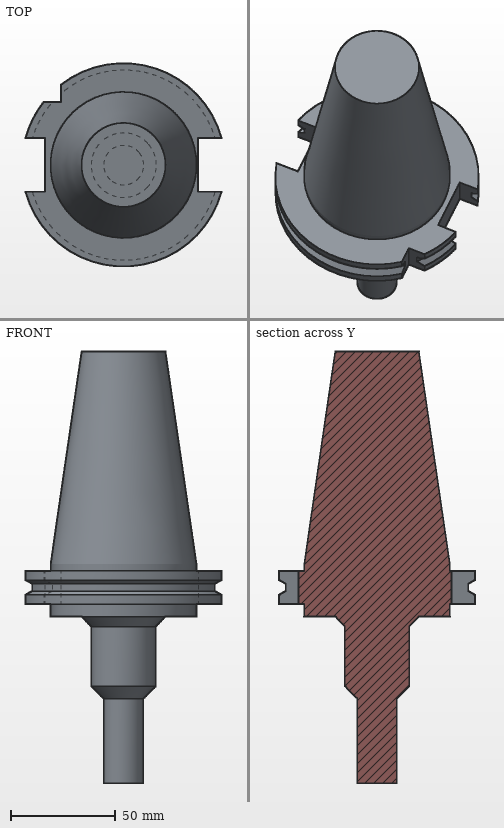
import cadquery as cq
import math

total_height = 206.8
gauge_line_z = 105.0
flange_top_z = 101.7
flange_height = 16.0
flange_bottom_z = flange_top_z - flange_height
collar_bottom_z = 79.8
neck_top_z = 75.0
neck_bottom_z = 46.5

taper_large_diameter = 69.9
taper_ratio = 7 / 24
taper_small_diameter = taper_large_diameter - taper_ratio * (total_height - gauge_line_z)
flange_diameter = 97.4
collar_diameter = 70.0
neck_cone_diameter = 40.1
neck_diameter = 31.0
shank_diameter = 19.0
shank_top_z = neck_bottom_z - (neck_diameter - shank_diameter) / 2

groove_width = 7.0
groove_depth = 3.0
groove_wall_angle = 30.0

slot_width = 25.6
left_slot_floor = 37.6
right_slot_floor = 35.8
notch_x = -30.0
notch_y = 30.2


def turned_body():
    """Taper, flange blank, collar, neck and shank in one revolved profile."""
    profile = [
        (0, 0),
        (shank_diameter / 2, 0),
        (shank_diameter / 2, shank_top_z),
        (neck_diameter / 2, neck_bottom_z),
        (neck_diameter / 2, neck_top_z),
        (neck_cone_diameter / 2, collar_bottom_z),
        (collar_diameter / 2, collar_bottom_z),
        (collar_diameter / 2, flange_bottom_z),
        (flange_diameter / 2, flange_bottom_z),
        (flange_diameter / 2, flange_top_z),
        (taper_large_diameter / 2, flange_top_z),
        (taper_large_diameter / 2, gauge_line_z),
        (taper_small_diameter / 2, total_height),
        (0, total_height),
    ]
    return cq.Workplane("XZ").polyline(profile).close().revolve(360, (0, 0), (0, 1))


def flange_groove():
    """Ring with sloping walls and a flat floor, to be cut from the flange rim."""
    middle_z = (flange_top_z + flange_bottom_z) / 2
    rim_radius = flange_diameter / 2
    floor_radius = rim_radius - groove_depth
    rim_half_width = groove_width / 2
    floor_half_width = rim_half_width - groove_depth * math.tan(math.radians(groove_wall_angle))
    profile = [
        (rim_radius, middle_z - rim_half_width),
        (floor_radius, middle_z - floor_half_width),
        (floor_radius, middle_z + floor_half_width),
        (rim_radius, middle_z + rim_half_width),
    ]
    return cq.Workplane("XZ").polyline(profile).close().revolve(360, (0, 0), (0, 1))


def flange_cut(x_start, x_end, y_start, y_end):
    """Box spanning the height of the flange."""
    return (
        cq.Workplane("XY", origin=(x_start, y_start, flange_bottom_z))
        .box(x_end - x_start, y_end - y_start, flange_height, centered=False)
    )


left_slot = flange_cut(-flange_diameter, -left_slot_floor, -slot_width / 2, slot_width / 2)
right_slot = flange_cut(right_slot_floor, flange_diameter, -slot_width / 2, slot_width / 2)
corner_notch = flange_cut(-flange_diameter, notch_x, notch_y, flange_diameter)

result = turned_body().cut(flange_groove())
for cutter in (left_slot, right_slot, corner_notch):
    result = result.cut(cutter)